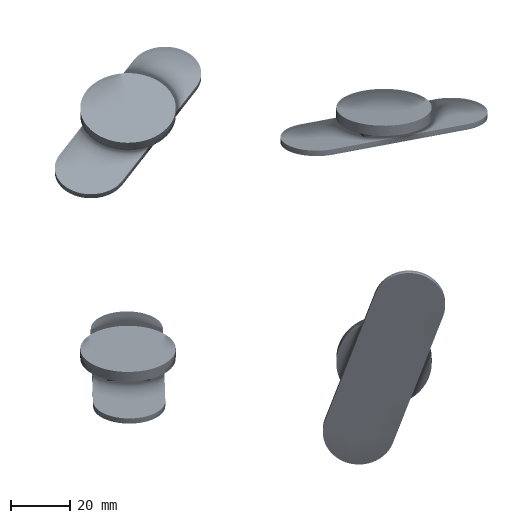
import cadquery as cq
import math

size_x = 58.3
size_y = 62.0
height = 8.2

end_radius = 12.2
plate_thickness = 2.0

neck_length = 22.0
neck_width = 14.5
neck_height = 2.5

cap_diameter = 32.3
cap_thickness = height - plate_thickness - neck_height

end_x = size_x / 2 - end_radius
end_y = size_y / 2 - end_radius
plate_length = 2 * (math.hypot(end_x, end_y) + end_radius)
slant = -math.degrees(math.atan2(end_y, end_x))

plate = cq.Workplane("XY").slot2D(plate_length, 2 * end_radius).extrude(plate_thickness)
neck = (
    plate.faces(">Z")
    .workplane()
    .rect(neck_length, neck_width)
    .extrude(neck_height)
)
stack = (
    neck.faces(">Z")
    .workplane()
    .circle(cap_diameter / 2)
    .extrude(cap_thickness)
)
result = stack.rotate((0, 0, 0), (0, 0, 1), slant)